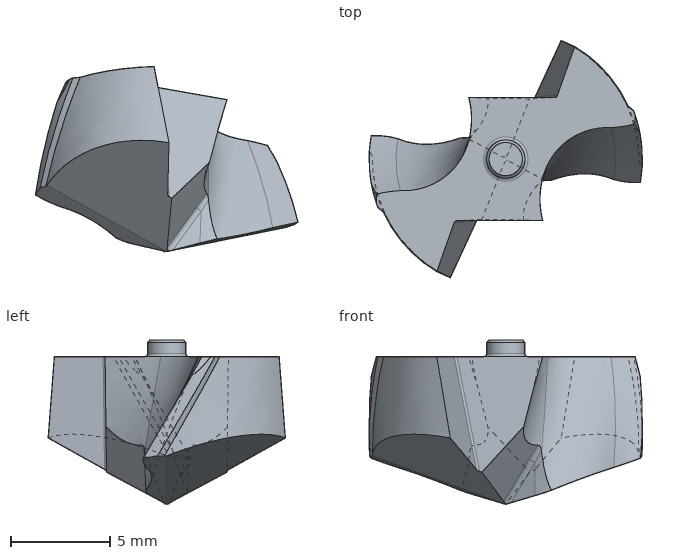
import math

import cadquery as cq


total_height = 8.3
head_height = 7.46
margin_radius = 6.9
twist_per_mm = 4.89
far = 12.0

margin_start_angle = 15.2
margin_end_angle = 20.7
step_end_angle = 23.5
land_front_radius = 6.73
land_mid_radius = 6.66
land_mid_angle = 58.0
land_back_radius = 6.59
land_back_angle = 100.0

lip_mid = (5.99, 1.66)
lip_end = (5.31, 1.59)
gullet_mid = (3.28, 1.04)
gullet_end = (2.1, -0.3)
core_mid = (1.73, -1.95)
heel_end = (1.87, -3.11)

pin_radius = 0.97
pin_chamfer = 0.13
pin_root_radius = 0.15

pocket_corner = (2.57, 3.11)
pocket_rear_direction = (0.87, 2.45)
pocket_edge_slope = (0.1976, 0.012)
pocket_corner_radius = 0.15

point_angle = 140.0
primary_relief_slope = 0.125
secondary_relief_slope = 0.389

gash_wall_normal = (7.22, -6.43, -6.70)
gash_lip_start_y = -0.02
gash_lip_bend = (1.47, -0.78)
gash_lip_end = (2.49, -1.03)
gash_reach = 3.6
gash_rake_slope = 0.073
gash_root_radius = 0.28

margin_flat_x = 6.53
margin_flat_angle = 14.5


def polar(radius, angle):
    return (radius * math.cos(math.radians(angle)), radius * math.sin(math.radians(angle)))


def half_turn(point):
    return (-point[0], -point[1])


def both_sides(body):
    """The body together with its copy half a turn round the drill axis."""
    return body, body.rotate((0, 0, 0), (0, 0, 1), 180)


def half_section(sketch, turn):
    """One land, its heel and the flute that follows it, turned by the given function."""
    margin_mid_angle = (margin_start_angle + margin_end_angle) / 2
    margin_mid = polar(margin_radius, margin_mid_angle)
    margin_end = polar(margin_radius, margin_end_angle)
    land_start = polar(land_front_radius, step_end_angle)
    land_mid = polar(land_mid_radius, land_mid_angle)
    land_end = polar(land_back_radius, land_back_angle)
    next_lip = half_turn(polar(margin_radius, margin_start_angle))
    return (
        sketch
        .threePointArc(turn(margin_mid), turn(margin_end))
        .lineTo(*turn(land_start))
        .threePointArc(turn(land_mid), turn(land_end))
        .lineTo(*turn(half_turn(heel_end)))
        .threePointArc(turn(half_turn(core_mid)), turn(half_turn(gullet_end)))
        .threePointArc(turn(half_turn(gullet_mid)), turn(half_turn(lip_end)))
        .threePointArc(turn(half_turn(lip_mid)), turn(next_lip))
    )


def fluted_body():
    """Twisted bar, turned so that its top section has the angles given above."""
    lip_corner = polar(margin_radius, margin_start_angle)
    sketch = cq.Workplane("XY").moveTo(*lip_corner)
    sketch = half_section(sketch, lambda point: point)
    sketch = half_section(sketch, half_turn)
    twist = twist_per_mm * head_height
    body = sketch.close().twistExtrude(head_height, twist)
    return body.rotate((0, 0, 0), (0, 0, 1), -twist)


def heel_pocket():
    """Two-walled pocket that slants inwards as it runs down to the point."""
    corner_x, corner_y = pocket_corner
    rear_length = math.hypot(*pocket_rear_direction)
    rear_x = corner_x + far * pocket_rear_direction[0] / rear_length
    rear_y = corner_y + far * pocket_rear_direction[1] / rear_length
    profile = cq.Wire.makePolygon(
        [
            cq.Vector(corner_x, corner_y, head_height),
            cq.Vector(rear_x, rear_y, head_height),
            cq.Vector(-far, rear_y, head_height),
            cq.Vector(-far, corner_y, head_height),
        ],
        close=True,
    )
    depth = cq.Vector(
        -pocket_edge_slope[0] * head_height, -pocket_edge_slope[1] * head_height, -head_height
    )
    prism = cq.Workplane(cq.Solid.extrudeLinear(profile, [], depth))
    corner_mid = cq.Vector(corner_x, corner_y, head_height) + depth * 0.5
    corner_edge = cq.selectors.NearestToPointSelector(corner_mid.toTuple())
    return prism.edges(corner_edge).fillet(pocket_corner_radius)


def half_space(normal):
    """Large block filling the side of a plane through the origin that the normal points to."""
    return cq.Workplane(cq.Plane((0, 0, 0), normal=normal)).rect(4 * far, 4 * far).extrude(2 * far)


def relief_waste(relief_slope):
    """Everything below the +X flank plane with the given slope along Y."""
    point_slope = 1 / math.tan(math.radians(point_angle / 2))
    return half_space((point_slope, relief_slope, -1))


def thinning_gash():
    """V groove between the heel-side wall and the rake wall, with a rounded root.

    The rake wall starts as far left of the axis as its bend lies to the right, so that
    the straight root edge is centred close to the point.
    """
    profile = (
        cq.Workplane("XY")
        .moveTo(-gash_lip_bend[0], 2 * gash_lip_start_y - gash_lip_bend[1])
        .lineTo(*gash_lip_bend)
        .tangentArcPoint(gash_lip_end, relative=False)
        .lineTo(gash_reach, gash_lip_end[1])
        .lineTo(gash_reach, -far)
        .lineTo(-gash_lip_bend[0], -far)
        .close()
        .wires()
        .val()
    )
    rise = cq.Vector(0, -gash_rake_slope * head_height, head_height)
    rake_side = cq.Workplane(cq.Solid.extrudeLinear(profile.translate(-rise), [], rise * 2))
    gash = rake_side.intersect(half_space(gash_wall_normal))
    root_edge = cq.selectors.NearestToPointSelector((0, gash_lip_start_y, 0))
    return gash.edges(root_edge).fillet(gash_root_radius)


def margin_flat():
    """Wedge outside a plane that leans outwards from the seating face down."""
    outward = head_height * math.tan(math.radians(margin_flat_angle))
    return (
        cq.Workplane("XZ")
        .moveTo(margin_flat_x, head_height)
        .lineTo(margin_flat_x + outward, 0)
        .lineTo(far, 0)
        .lineTo(far, head_height)
        .close()
        .extrude(far, both=True)
    )


def seating_pin():
    """Chamfered pin with a filleted root, sunk slightly into the head to join it."""
    pin_height = total_height - head_height
    root_outer = pin_radius + pin_root_radius
    root_bulge = pin_root_radius * (1 - math.sqrt(0.5))
    return (
        cq.Workplane("XZ", origin=(0, 0, head_height))
        .moveTo(0, -pin_root_radius)
        .lineTo(root_outer, -pin_root_radius)
        .lineTo(root_outer, 0)
        .threePointArc((pin_radius + root_bulge, root_bulge), (pin_radius, pin_root_radius))
        .lineTo(pin_radius, pin_height - pin_chamfer)
        .lineTo(pin_radius - pin_chamfer, pin_height)
        .lineTo(0, pin_height)
        .close()
        .revolve(360, (0, 0, 0), (0, 1, 0))
    )


result = fluted_body()
cutters = [
    heel_pocket(),
    relief_waste(primary_relief_slope),
    relief_waste(secondary_relief_slope),
    thinning_gash(),
    margin_flat(),
]
for cutter in cutters:
    for waste in both_sides(cutter):
        result = result.cut(waste)
result = result.union(seating_pin())